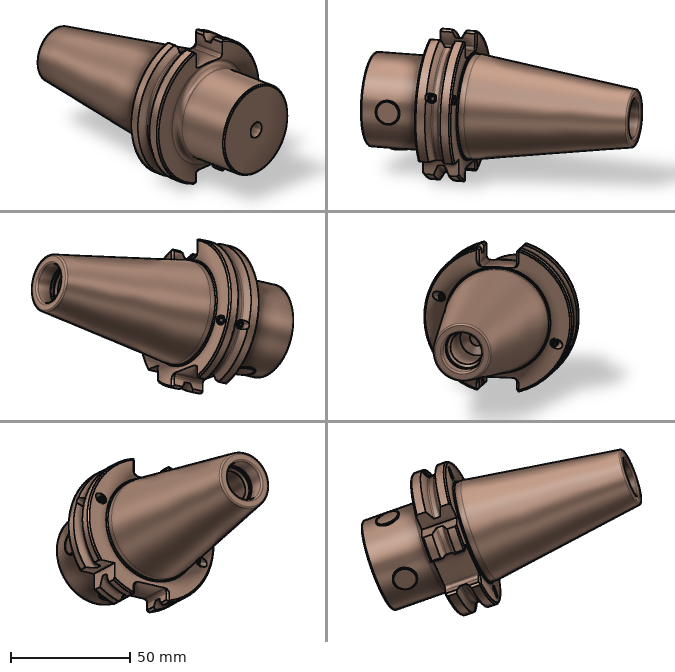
import cadquery as cq
import math

total_length = 114.2
gauge_x = 68.3
flange_x = 71.5
flange_width = 15.8
flange_end_x = flange_x + flange_width

cut_clearance = 1.1

gauge_radius = 44.5 / 2
taper_slope = 7 / 48
small_end_radius = gauge_radius - taper_slope * gauge_x
small_end_fillet = 0.8
neck_fillet = 0.6

flange_radius = 31.8
rim_chamfer = 0.7
groove_center_x = 79.3
groove_rim_width = 6.7
groove_floor_radius = 28.3
groove_wall_angle = 30.0
groove_fillet = 0.7

nose_radius = 20.0
nose_fillet = 3.0
nose_chamfer = 0.6

pilot_radius = 8.5
pilot_depth = 9.4
relief_length = 2.0
relief_depth = 0.2
relief_ramp = 0.5
thread_radius = 7.1
thread_depth = 29.7
passage_radius = 3.4
bore_cone_angle = 59.0

slot_half_width = 16.1 / 2
slot_corner_radius = 1.6
slot_bevel = 1.0
slot_bevel_length = 0.8
top_slot_floor = 22.6
bottom_slot_floor = 24.6
notch_side_y = 18.5
notch_floor_z = 18.5

port_angle = 20.0
port_radius = 1.9
port_opening = 5.7
port_hex_flats = 2.0
port_hex_depth = 1.7
screw_length = 4.0
screw_chamfer = 0.3
face_port_radius = 26.8
face_port_slant = 45.0
face_port_recess = 1.1
groove_port_x = 81.1
groove_port_recess = 0.8

plug_x = 102.4
plug_radius = 5.3
plug_length = 6.9
plug_chamfer = 0.5


def holder_blank():
    """Taper, flange and nose turned as one piece."""
    outline = (
        cq.Workplane("XY")
        .lineTo(0, small_end_radius)
        .lineTo(gauge_x, gauge_radius)
        .lineTo(flange_x - neck_fillet, gauge_radius)
        .radiusArc((flange_x, gauge_radius + neck_fillet), neck_fillet)
        .lineTo(flange_x, flange_radius - rim_chamfer)
        .lineTo(flange_x + rim_chamfer, flange_radius)
        .lineTo(flange_end_x - rim_chamfer, flange_radius)
        .lineTo(flange_end_x, flange_radius - rim_chamfer)
        .lineTo(flange_end_x, nose_radius + nose_fillet)
        .radiusArc((flange_end_x + nose_fillet, nose_radius), -nose_fillet)
        .lineTo(total_length - nose_chamfer, nose_radius)
        .lineTo(total_length, nose_radius - nose_chamfer)
        .lineTo(total_length, 0)
        .close()
    )
    return outline.revolve(360, (0, 0), (1, 0))


def groove_cutter():
    """Ring with the V section of the gripper groove, rounded at its floor."""
    rim_half = groove_rim_width / 2
    wall_run = math.tan(math.radians(groove_wall_angle))
    floor_half = rim_half - (flange_radius - groove_floor_radius) * wall_run
    clear_radius = flange_radius + cut_clearance
    clear_half = rim_half + cut_clearance * wall_run
    ring = (
        cq.Workplane("XY")
        .polyline([
            (groove_center_x - clear_half, clear_radius),
            (groove_center_x - floor_half, groove_floor_radius),
            (groove_center_x + floor_half, groove_floor_radius),
            (groove_center_x + clear_half, clear_radius),
        ])
        .close()
        .revolve(360, (0, 0), (1, 0))
    )
    floor_edges = cq.selectors.RadiusNthSelector(0)
    return ring.edges(floor_edges).fillet(groove_fillet)


def bore_cutter():
    """Stepped bore from the small end, and the passage through to the nose."""
    cone_run = 1 / math.tan(math.radians(bore_cone_angle))
    relief_start = pilot_depth - relief_length
    points = [
        (0, 0),
        (0, pilot_radius),
        (relief_start, pilot_radius),
        (relief_start + relief_ramp, pilot_radius + relief_depth),
        (pilot_depth - relief_ramp, pilot_radius + relief_depth),
        (pilot_depth, pilot_radius),
        (pilot_depth + (pilot_radius - thread_radius) * cone_run, thread_radius),
        (thread_depth, thread_radius),
        (thread_depth + (thread_radius - passage_radius) * cone_run, passage_radius),
        (total_length, passage_radius),
        (total_length, 0),
    ]
    return cq.Workplane("XY").polyline(points).close().revolve(360, (0, 0), (1, 0))


def slot_section(x, half_width, corner_radius, floor):
    """Closed slot section in the plane at x, opening toward +Z."""
    top = flange_radius + cut_clearance
    return (
        cq.Workplane("YZ", origin=(x, 0, 0))
        .moveTo(-half_width, top)
        .lineTo(-half_width, floor + corner_radius)
        .radiusArc((-half_width + corner_radius, floor), -corner_radius)
        .lineTo(half_width - corner_radius, floor)
        .radiusArc((half_width, floor + corner_radius), -corner_radius)
        .lineTo(half_width, top)
        .close()
    )


def slot_cutter(floor):
    """Drive slot with bevels at the taper-side face and along its rim edges."""
    slot = slot_section(flange_x, slot_half_width, slot_corner_radius, floor).extrude(flange_width)
    wide = slot_section(flange_x, slot_half_width + slot_bevel, slot_corner_radius + slot_bevel, floor)
    narrow = slot_section(flange_x + slot_bevel_length, slot_half_width, slot_corner_radius, floor)
    mouth = cq.Solid.makeLoft([wide.wires().val(), narrow.wires().val()], True)

    outer_half = slot_half_width + slot_bevel
    outer_z = math.sqrt(flange_radius**2 - outer_half**2)
    rim_bevel = (
        cq.Workplane("YZ", origin=(flange_x, 0, 0))
        .polyline([
            (-slot_half_width, outer_z - slot_bevel),
            (slot_half_width, outer_z - slot_bevel),
            (outer_half + slot_bevel, outer_z + slot_bevel),
            (-outer_half - slot_bevel, outer_z + slot_bevel),
        ])
        .close()
        .extrude(flange_width)
    )
    return slot.union(cq.Workplane(mouth)).union(rim_bevel)


def notch_cutter():
    """Rectangular orientation notch on the +Y, -Z corner of the flange."""
    return (
        cq.Workplane("XY")
        .box(flange_width, flange_radius, flange_radius, centered=False)
        .translate((flange_x, notch_side_y, -notch_floor_z - flange_radius))
    )


def port_plane(mouth_x, mouth_distance, outward_x, outward_radial, recess, tilt):
    """Plane on a sealing screw's outer face, its normal pointing out of the hole."""
    along_y = math.cos(math.radians(tilt))
    along_z = math.sin(math.radians(tilt))
    face_x = mouth_x - outward_x * recess
    face_distance = mouth_distance - outward_radial * recess
    return cq.Plane(
        origin=(face_x, face_distance * along_y, face_distance * along_z),
        xDir=(0, -along_z, along_y),
        normal=(outward_x, outward_radial * along_y, outward_radial * along_z),
    )


def face_port_plane(tilt):
    """Port that opens in the taper-side face of the flange and slants inward."""
    slant = math.radians(face_port_slant)
    return port_plane(flange_x, face_port_radius, -math.cos(slant), math.sin(slant), face_port_recess, tilt)


def groove_port_plane(tilt):
    """Radial port that opens in the floor and nose-side wall of the V groove."""
    return port_plane(groove_port_x, groove_floor_radius, 0, 1, groove_port_recess, tilt)


def port_cutter(plane):
    """Hole that holds a sealing screw and opens past the flange surface."""
    bottom = cq.Workplane(plane).workplane(offset=-screw_length)
    return bottom.circle(port_radius).extrude(screw_length + port_opening)


def sealing_screw(plane):
    """Headless screw with a hexagon socket."""
    hex_corner_diameter = port_hex_flats / math.cos(math.radians(30))
    outward = cq.selectors.DirectionMinMaxSelector(plane.zDir)
    bottom = cq.Workplane(plane).workplane(offset=-screw_length)
    screw = bottom.circle(port_radius).extrude(screw_length).faces(outward).chamfer(screw_chamfer)
    socket = cq.Workplane(plane).polygon(6, hex_corner_diameter).extrude(-port_hex_depth)
    return screw.cut(socket)


def plug_blank(outward):
    """Cylinder whose flat outer end is level with the crest of the nose."""
    base = cq.Vector(plug_x, 0, 0) + outward * (nose_radius - plug_length)
    plane = cq.Plane(origin=base, xDir=(1, 0, 0), normal=outward)
    return cq.Workplane(plane).circle(plug_radius).extrude(plug_length)


def nose_plug(outward):
    """Plug that fills its hole, chamfered at the outer end."""
    outer_end = cq.selectors.DirectionMinMaxSelector(outward)
    return plug_blank(outward).faces(outer_end).chamfer(plug_chamfer)


port_tilts = [port_angle, port_angle + 180]
face_planes = [face_port_plane(tilt) for tilt in port_tilts]
groove_planes = [groove_port_plane(tilt) for tilt in port_tilts]
port_planes = face_planes + groove_planes
sealing_screws = [sealing_screw(plane) for plane in port_planes]

plug_directions = [cq.Vector(0, 1, 0), cq.Vector(0, 0, -1)]
nose_plugs = [nose_plug(direction) for direction in plug_directions]

bottom_slot = slot_cutter(bottom_slot_floor).mirror("XY")
holder = (
    holder_blank()
    .cut(groove_cutter())
    .cut(bore_cutter())
    .faces("<X").edges().fillet(small_end_fillet)
    .cut(slot_cutter(top_slot_floor))
    .cut(bottom_slot)
    .cut(notch_cutter())
)
for plane in port_planes:
    holder = holder.cut(port_cutter(plane))
for direction in plug_directions:
    holder = holder.cut(plug_blank(direction))

screw_solids = [screw.val() for screw in sealing_screws]
plug_solids = [plug.val() for plug in nose_plugs]
result = cq.Compound.makeCompound([holder.val(), *screw_solids, *plug_solids])